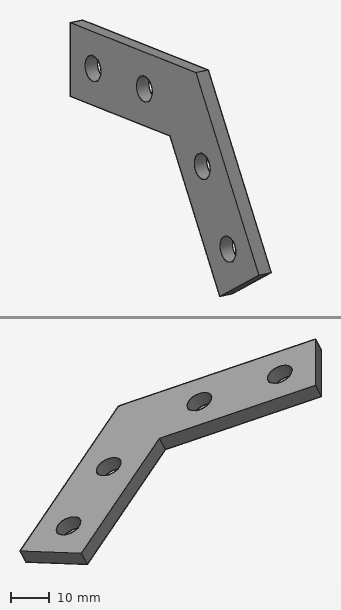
import cadquery as cq
import math

overall_length = 82.5
arm_width = 19.8
thickness = 4.0
bend_angle = 60.0
hole_diameter = 6.85
end_margin = 10.0
hole_spacing = 22.4

bend = math.radians(bend_angle)
arm_length = overall_length / (1 + math.cos(bend))
inner_length = arm_length - arm_width * math.tan(bend / 2)
center_offset = arm_width / 2


def first_arm_point(from_end, from_outer_edge):
    """Point on the horizontal arm, with its outer end corner at the origin."""
    return (from_end, -from_outer_edge)


def second_arm_point(from_end, from_outer_edge):
    """Matching point on the sloping arm."""
    along = arm_length - from_end
    x = arm_length + along * math.cos(bend) - from_outer_edge * math.sin(bend)
    z = -along * math.sin(bend) - from_outer_edge * math.cos(bend)
    return (x, z)


outline = [
    first_arm_point(0, 0),
    first_arm_point(arm_length, 0),
    second_arm_point(0, 0),
    second_arm_point(0, arm_width),
    first_arm_point(inner_length, arm_width),
    first_arm_point(0, arm_width),
]

hole_centers = [
    arm_point(from_end, center_offset)
    for arm_point in (first_arm_point, second_arm_point)
    for from_end in (end_margin, end_margin + hole_spacing)
]

plate = cq.Workplane("XZ").polyline(outline).close().extrude(-thickness)
holes = cq.Workplane("XZ").pushPoints(hole_centers).circle(hole_diameter / 2).extrude(-thickness)
result = plate.cut(holes)